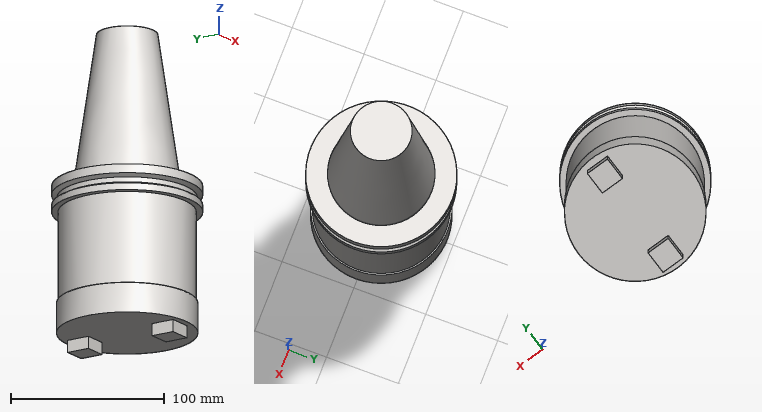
import cadquery as cq

total_height = 211.3
taper_length = 101.6
neck_height = 1.5
flange_height = 17.5
collar_height = 20.3
key_height = 8.2

taper_tip_diameter = 40.1
gauge_diameter = 70.0
flange_diameter = 98.5
groove_floor_diameter = 91.5
body_diameter = 90.0
collar_diameter = 92.1

groove_center_depth = 9.5
groove_mouth_width = 7.0
groove_floor_width = 3.4

key_width = 16.3
key_spacing = 66.1

collar_bottom = key_height
collar_top = collar_bottom + collar_height
gauge_level = total_height - taper_length
flange_top = gauge_level - neck_height
flange_bottom = flange_top - flange_height
groove_center = flange_top - groove_center_depth


def cylinder(diameter, bottom, top):
    """Cylinder on the Z axis between two levels."""
    return cq.Workplane("XY").workplane(offset=bottom).circle(diameter / 2).extrude(top - bottom)


def taper():
    """Conical shank, narrowing upward from the gauge level."""
    return (
        cq.Workplane("XY")
        .workplane(offset=gauge_level)
        .circle(gauge_diameter / 2)
        .workplane(offset=taper_length)
        .circle(taper_tip_diameter / 2)
        .loft(ruled=True)
    )


def flange():
    """Flange with a flat-bottomed V groove, revolved about Z."""
    rim_radius = flange_diameter / 2
    floor_radius = groove_floor_diameter / 2
    half_mouth = groove_mouth_width / 2
    half_floor = groove_floor_width / 2
    profile = [
        (0, flange_bottom),
        (rim_radius, flange_bottom),
        (rim_radius, groove_center - half_mouth),
        (floor_radius, groove_center - half_floor),
        (floor_radius, groove_center + half_floor),
        (rim_radius, groove_center + half_mouth),
        (rim_radius, flange_top),
        (0, flange_top),
    ]
    return cq.Workplane("XZ").polyline(profile).close().revolve(360, (0, 0), (0, 1))


def drive_keys():
    """Pair of keys standing down from the collar at +Y and -Y."""
    return (
        cq.Workplane("XY")
        .rarray(2.1, key_spacing, 1, 2)
        .rect(key_width, key_width)
        .extrude(key_height)
    )


collar = cylinder(collar_diameter, collar_bottom, collar_top)
body = cylinder(body_diameter, collar_top, flange_bottom)
neck = cylinder(gauge_diameter, flange_top, gauge_level)

result = collar.union(body).union(flange()).union(neck).union(taper()).union(drive_keys())